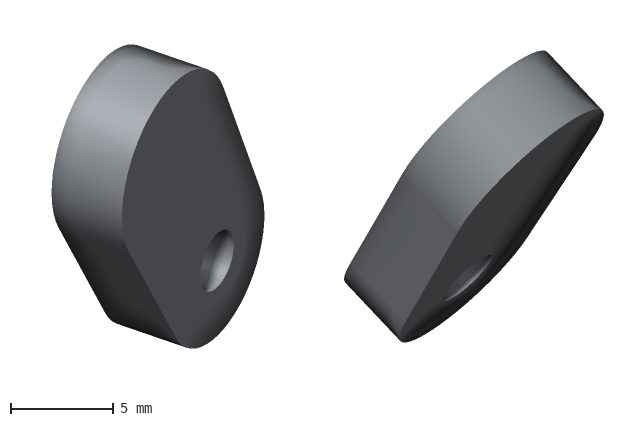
import cadquery as cq
import math

thickness = 4.0
large_radius = 5.0
small_radius = 4.5
hole_diameter = 3.2
offset_y = -3.99
offset_z = 8.0

centre_distance = math.hypot(offset_y, offset_z)
axis_angle = math.atan2(offset_z, offset_y)
normal_angle = math.acos((small_radius - large_radius) / centre_distance)
small_centre = (0, 0)
large_centre = (offset_y, offset_z)


def rim_point(centre, radius, angle):
    """Point on an end circle at the given angle from +Y towards +Z."""
    return (
        centre[0] + radius * math.cos(angle),
        centre[1] + radius * math.sin(angle),
    )


right_normal = axis_angle - normal_angle
left_normal = axis_angle + normal_angle

plate = (
    cq.Workplane("YZ")
    .moveTo(*rim_point(small_centre, small_radius, right_normal))
    .lineTo(*rim_point(large_centre, large_radius, right_normal))
    .threePointArc(
        rim_point(large_centre, large_radius, axis_angle),
        rim_point(large_centre, large_radius, left_normal),
    )
    .lineTo(*rim_point(small_centre, small_radius, left_normal))
    .threePointArc(
        rim_point(small_centre, small_radius, axis_angle + math.pi),
        rim_point(small_centre, small_radius, right_normal),
    )
    .close()
    .extrude(thickness)
)

hole = cq.Workplane("YZ").circle(hole_diameter / 2).extrude(thickness)

result = plate.cut(hole)